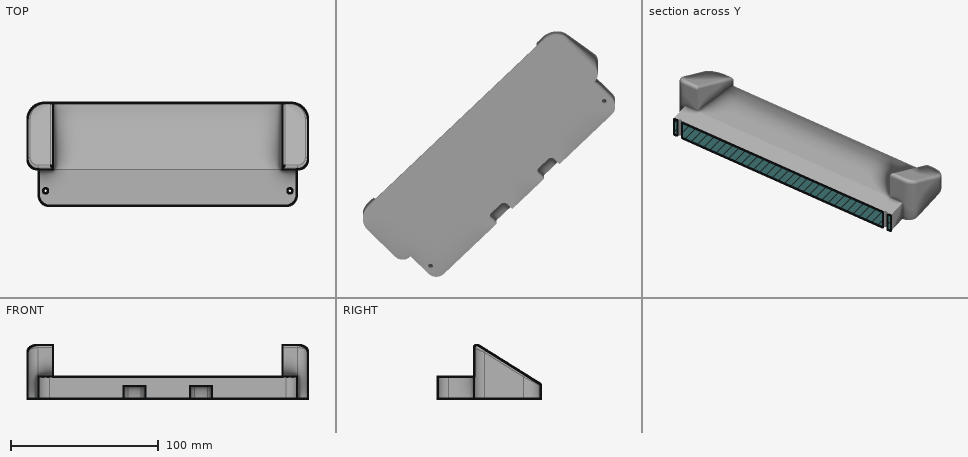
import cadquery as cq
import math

length = 190.0
depth = 70.0
step_depth = 24.7
step_height = 15.0
step_inset = 7.6
step_corner_radius = 7.5

crest_height = 36.5
slope_angle = math.radians(32)
front_corner_radius = 7.0
rear_corner_radius = 11.8
edge_radius = 1.9

wall_thickness = 17.5
floor_rear_height = 3.0

hole_diameter = 3.2
hole_side_distance = 12.4
hole_front_distance = 10.3
notch_width = 15.0
notch_height = 8.5
notch_depth = 8.0
notch_corner_radius = 3.0
notch_spacing = 45.0

wedge_depth = depth - step_depth
floor_width = length - 2 * wall_thickness
sharp_height = crest_height - edge_radius + edge_radius * (math.tan(slope_angle) + 1 / math.cos(slope_angle))
rear_height = sharp_height - wedge_depth * math.tan(slope_angle)


def prism_along_x(points, width):
    """Extrude a (Y, Z) outline symmetrically about X = 0."""
    return cq.Workplane("YZ").polyline(points).close().extrude(width / 2, both=True)


def make_wedge():
    """Rounded sloping block with a lowered floor between its end walls."""
    block = prism_along_x(
        [(step_depth, 0), (depth, 0), (depth, rear_height), (step_depth, sharp_height)],
        length,
    )
    block = block.edges("|Z and <Y").fillet(front_corner_radius)
    block = block.edges("|Z and >Y").fillet(rear_corner_radius)
    clearance = prism_along_x(
        [
            (step_depth, step_height),
            (depth, floor_rear_height),
            (depth, sharp_height),
            (step_depth, sharp_height),
        ],
        floor_width,
    )
    block = block.cut(clearance)
    slope_normal = cq.Vector(0, math.sin(slope_angle), math.cos(slope_angle))
    wall_tops = block.faces(cq.selectors.ParallelDirSelector(slope_normal))
    block = wall_tops.edges().fillet(edge_radius)
    floor_rear_edge = block.faces(">Y").edges("|X").edges(
        cq.selectors.NearestToPointSelector((0, depth, floor_rear_height))
    )
    return floor_rear_edge.fillet(edge_radius)


def make_step():
    """Low step along the front with rounded outer corners."""
    step = cq.Workplane("XY").box(
        length - 2 * step_inset, step_depth, step_height, centered=(True, False, False)
    )
    return step.edges("|Z and <Y").fillet(step_corner_radius)


def make_holes():
    hole_x = length / 2 - hole_side_distance
    centres = [(-hole_x, hole_front_distance), (hole_x, hole_front_distance)]
    return cq.Workplane("XY").pushPoints(centres).circle(hole_diameter / 2).extrude(step_height)


def make_notch(centre_x):
    """Underside notch open at the front, with rounded inner corners."""
    notch = cq.Workplane("XY").box(notch_width, notch_depth, notch_height, centered=(True, False, False))
    return notch.edges("|Z and >Y").fillet(notch_corner_radius).translate((centre_x, 0, 0))


result = make_wedge().union(make_step()).cut(make_holes())
for side in (-1, 1):
    result = result.cut(make_notch(side * notch_spacing / 2))